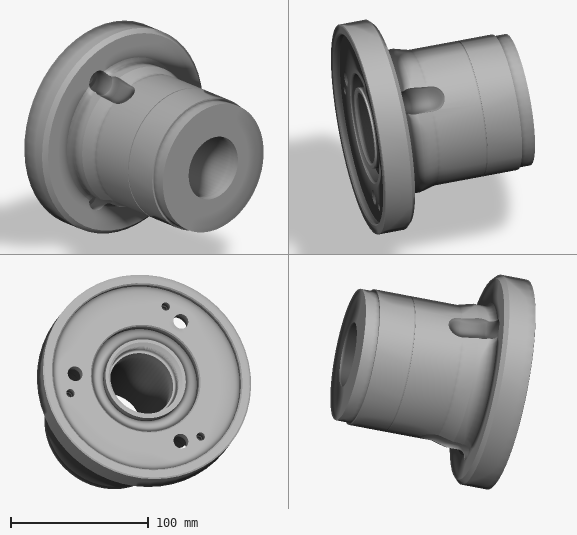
import cadquery as cq
import math

overall_length = 120.0
flange_thickness = 23.1
collar_start = 27.7
collar_end = 36.1
barrel_start = 47.5
housing_length = 83.1
relief_end = 84.0
cap_step = 109.9

flange_radius = 77.5
collar_radius = 53.0
barrel_radius = 50.0
cap_tip_radius = 48.5

front_chamfer_width = 1.1
front_chamfer_length = 0.5
back_chamfer = 3.1
root_fillet = 5.0
relief_depth = 0.5

recess_radius = 70.0
recess_depth = 5.0
edge_chamfer = 1.0
pocket_radius = 40.0
pocket_depth = 12.4

sleeve_radius = 29.9
sleeve_front = recess_depth
sleeve_bore = 23.7
thread_major_radius = 27.6
thread_minor_radius = 26.2
thread_pitch = 1.1
thread_turns = 13

hole_count = 3
mount_circle = 52.5
mount_hole_diameter = 11.0
access_start = 12.0
access_radius = 8.5
wrench_pocket_diameter = 20.0
wrench_pocket_start = 34.1
wrench_pocket_end = 48.5

tapped_circle = 58.0
tapped_radius = 3.1
tapped_depth = 7.8
pilot_radius = 2.5
pilot_depth = 10.8
tapped_first_angle = -15.0
drill_point_angle = 118.0


def revolve_about_x(profile):
    return profile.close().revolve(360, (0, 0, 0), (1, 0, 0))


def rod(radius, start, end):
    """Cylinder along +X on the spindle axis."""
    return cq.Workplane("YZ", origin=(start, 0, 0)).circle(radius).extrude(end - start)


def around_axis(tool, circle_radius, first_angle=0.0):
    """Copies of an axial tool on a circle; angle 0 is +Y and angles grow towards +Z."""
    placed = tool.translate((0, circle_radius, 0))
    return [
        placed.rotate((0, 0, 0), (1, 0, 0), first_angle + i * 360 / hole_count)
        for i in range(hole_count)
    ]


def housing_blank():
    """Flange, collar and barrel turned in one piece, with a through bore for the sleeve."""
    fillet_length = collar_start - flange_thickness
    fillet_rise = root_fillet - math.sqrt(root_fillet**2 - fillet_length**2)
    half_sweep = math.asin(fillet_length / root_fillet) / 2
    fillet_mid = (
        collar_start - root_fillet * math.sin(half_sweep),
        collar_radius + root_fillet * (1 - math.cos(half_sweep)),
    )
    profile = (
        cq.Workplane("XZ")
        .moveTo(0, recess_radius + edge_chamfer)
        .lineTo(0, flange_radius - front_chamfer_width)
        .lineTo(front_chamfer_length, flange_radius)
        .lineTo(flange_thickness - back_chamfer, flange_radius)
        .lineTo(flange_thickness, flange_radius - back_chamfer)
        .lineTo(flange_thickness, collar_radius + fillet_rise)
        .threePointArc(fillet_mid, (collar_start, collar_radius))
        .lineTo(collar_end, collar_radius)
        .lineTo(barrel_start, barrel_radius)
        .lineTo(housing_length, barrel_radius)
        .lineTo(housing_length, sleeve_radius)
        .lineTo(pocket_depth, sleeve_radius)
        .lineTo(pocket_depth, pocket_radius)
        .lineTo(recess_depth + edge_chamfer, pocket_radius)
        .lineTo(recess_depth, pocket_radius + edge_chamfer)
        .lineTo(recess_depth, recess_radius)
        .lineTo(edge_chamfer, recess_radius)
    )
    return revolve_about_x(profile)


def mount_tool():
    """Through hole, access bore and round-ended wrench pocket on one axis."""
    tool = rod(mount_hole_diameter / 2, 0, wrench_pocket_start)
    tool = tool.union(rod(access_radius, access_start, wrench_pocket_start))
    wrench_pocket_radius = wrench_pocket_diameter / 2
    tool = tool.union(rod(wrench_pocket_radius, wrench_pocket_start, wrench_pocket_end))
    for center in (wrench_pocket_start, wrench_pocket_end):
        ball = cq.Workplane("YZ", origin=(center, 0, 0)).sphere(wrench_pocket_radius)
        tool = tool.union(ball)
    return tool


def tapped_tool():
    """Blind threaded bore over a narrower pilot hole with a drill point."""
    thread_bottom = recess_depth + tapped_depth
    pilot_bottom = recess_depth + pilot_depth
    point_length = pilot_radius / math.tan(math.radians(drill_point_angle / 2))
    profile = (
        cq.Workplane("XZ")
        .moveTo(recess_depth, 0)
        .lineTo(recess_depth, tapped_radius)
        .lineTo(thread_bottom, tapped_radius)
        .lineTo(thread_bottom, pilot_radius)
        .lineTo(pilot_bottom, pilot_radius)
        .lineTo(pilot_bottom + point_length, 0)
    )
    return revolve_about_x(profile)


def make_housing():
    housing = housing_blank()
    for tool in around_axis(mount_tool(), mount_circle):
        housing = housing.cut(tool)
    for tool in around_axis(tapped_tool(), tapped_circle, tapped_first_angle):
        housing = housing.cut(tool)
    return housing


def make_cap():
    """Stepped rear ring, with a shallow relief groove where it meets the housing."""
    profile = (
        cq.Workplane("XZ")
        .moveTo(housing_length, sleeve_radius)
        .lineTo(housing_length, barrel_radius - relief_depth)
        .lineTo(relief_end, barrel_radius - relief_depth)
        .lineTo(relief_end, barrel_radius)
        .lineTo(cap_step, barrel_radius)
        .lineTo(cap_step, cap_tip_radius)
        .lineTo(overall_length, cap_tip_radius)
        .lineTo(overall_length, sleeve_radius)
    )
    return revolve_about_x(profile)


def make_sleeve():
    """Tube with ring-shaped V grooves for the internal thread of its front end."""
    thread_end = sleeve_front + thread_turns * thread_pitch
    profile = (
        cq.Workplane("XZ")
        .moveTo(sleeve_front, sleeve_radius)
        .lineTo(overall_length, sleeve_radius)
        .lineTo(overall_length, sleeve_bore)
        .lineTo(thread_end, sleeve_bore)
        .lineTo(thread_end, thread_major_radius)
    )
    for turn in reversed(range(thread_turns)):
        groove_center = sleeve_front + turn * thread_pitch
        profile = profile.lineTo(groove_center + thread_pitch / 2, thread_minor_radius)
        profile = profile.lineTo(groove_center, thread_major_radius)
    return revolve_about_x(profile)


housing = make_housing()
cap = make_cap()
sleeve = make_sleeve()

result = cq.Compound.makeCompound([housing.val(), cap.val(), sleeve.val()])